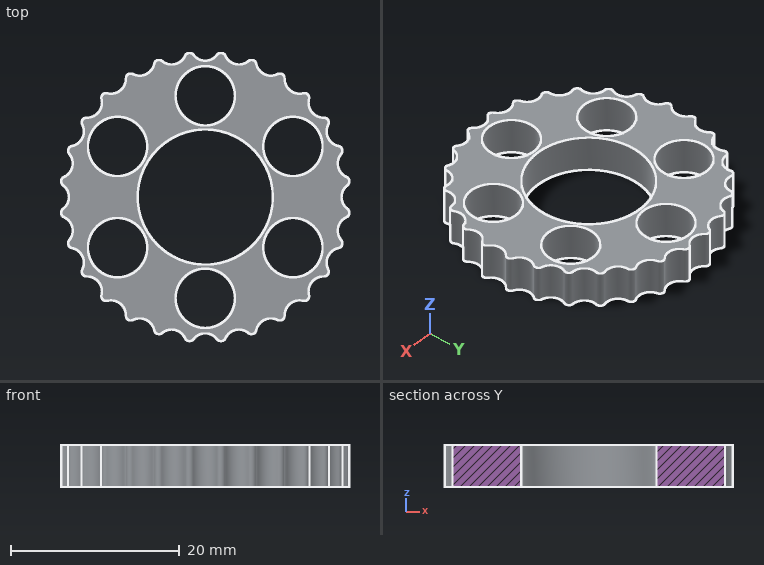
import cadquery as cq
import math

outer_size = 34.18
thickness = 5.0
bore_diameter = 16.0
hole_count = 6
hole_diameter = 7.0
hole_circle_radius = 12.0
tooth_count = 28
root_radius = 16.17
tip_round = 0.58

pitch_angle = 2 * math.pi / tooth_count
half_pitch = pitch_angle / 2
tip_center_radius = (outer_size / 2 - tip_round) / math.cos(half_pitch)
tip_radius = tip_center_radius + tip_round

tip_offset = tip_center_radius * math.sin(half_pitch)
tip_rise = tip_center_radius * math.cos(half_pitch) - root_radius
valley_round = (tip_offset**2 + tip_rise**2 - tip_round**2) / (2 * (tip_round + tip_rise))
valley_center_radius = root_radius + valley_round


def polar(radius, angle):
    return (radius * math.cos(angle), radius * math.sin(angle))


def tangent_point(tip_angle, valley_angle):
    """Point where a tip arc meets a valley arc, on the line joining their centres."""
    tip_x, tip_y = polar(tip_center_radius, tip_angle)
    valley_x, valley_y = polar(valley_center_radius, valley_angle)
    share = tip_round / (tip_round + valley_round)
    return (tip_x + share * (valley_x - tip_x), tip_y + share * (valley_y - tip_y))


def toothed_disc():
    """Disc whose rim alternates rounded valleys and rounded tips."""
    outline = cq.Workplane("XY").moveTo(*tangent_point(-half_pitch, 0))
    for index in range(tooth_count):
        valley_angle = index * pitch_angle
        tip_angle = valley_angle + half_pitch
        next_valley_angle = valley_angle + pitch_angle
        outline = outline.threePointArc(
            polar(root_radius, valley_angle), tangent_point(tip_angle, valley_angle)
        )
        outline = outline.threePointArc(
            polar(tip_radius, tip_angle), tangent_point(tip_angle, next_valley_angle)
        )
    return outline.close().extrude(thickness)


def central_bore():
    return cq.Workplane("XY").circle(bore_diameter / 2).extrude(thickness)


def hole_ring():
    """Ring of through holes, the first one on the Y axis."""
    return (
        cq.Workplane("XY")
        .polarArray(hole_circle_radius, 90, 360, hole_count)
        .circle(hole_diameter / 2)
        .extrude(thickness)
    )


result = toothed_disc().cut(central_bore()).cut(hole_ring())